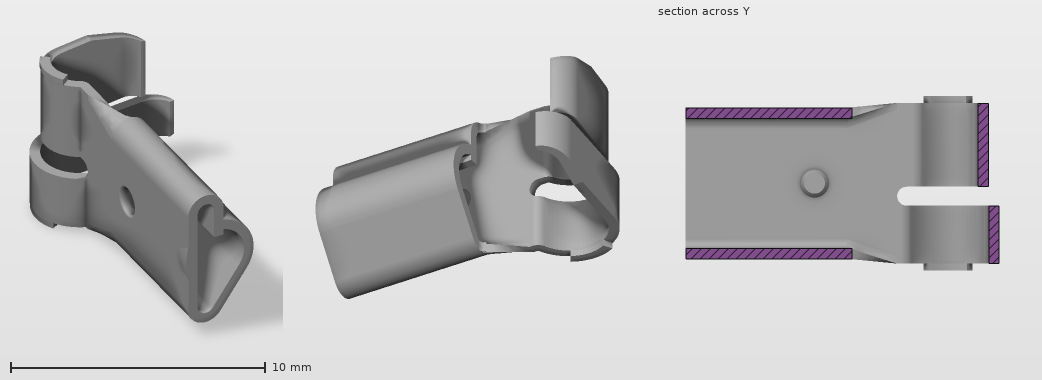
import cadquery as cq
import math

sheet = 0.42
plate_half_height = 3.16

hook_axis_y = 0.73
lower_hook_radius = 1.99
upper_hook_radius = 1.555
lower_hook_lean = 5.6
upper_hook_lean = 9.0
lower_straight = 4.02
upper_straight = 2.93
lower_curl_radius = 1.1
upper_curl_radius = 0.85
curl_tip_angle = 100.0
curl_tip_thickness = sheet / 2
curl_mid_thickness = 0.36

lower_trim_start = 3.44
upper_trim_start = 1.97
trim_run = 2.4
trim_drop = 0.74

lower_tab_radius = 1.97
upper_tab_radius = 1.59
tab_half_width = 0.96
tab_height = 0.27

slot_end_x = 2.0
slot_width = 0.745
slot_z = -0.51

barrel_start_x = 3.98
barrel_end_x = 10.325
barrel_half_height = 2.97
barrel_corner = 0.79
corner_z = barrel_half_height - barrel_corner
crease_start_z = 2.894
upper_wing_tip_z = 0.9
web_fillet = 0.2
crown_radius = 1.63
crown_z = -0.03
crown_top_y = 2.92
crown_end_y = 1.89

dimple_x = 5.25
dimple_mouth_radius = 0.62
dimple_floor_radius = 0.43
dimple_fillet = 0.12
dimple_depth = 0.3
dimple_boss_base_radius = 0.56
dimple_boss_top_radius = 0.41

lip_start_x = 9.567
lip_start_half_width = 0.36
lip_end_half_width = 0.76
lip_start_rise = 0.004
lip_end_rise = 0.085


def polar(centre, radius, degrees):
    angle = math.radians(degrees)
    return (centre[0] + radius * math.cos(angle), centre[1] + radius * math.sin(angle))


def hook(radius, lean, straight, curl_radius, z_min, z_max):
    """Plan outline of one hook, from the plate to the curled tip, extruded along Z."""
    axis = (0, hook_axis_y)
    inner_radius = radius - sheet
    root_x = math.sqrt(radius**2 - hook_axis_y**2)
    root_angle = -math.degrees(math.asin(hook_axis_y / radius))
    lean_angle = 180 + lean
    bottom_angle = -90
    curl_axis = polar(polar(axis, straight, 90 + lean), radius - curl_radius, lean_angle)
    curl_mid_angle = (lean_angle + curl_tip_angle) / 2
    bend = (root_x, 0)
    bend_mid_angle = (180 + root_angle + 90) / 2
    return (
        cq.Workplane("XY", origin=(0, 0, z_min))
        .moveTo(slot_end_x, 0)
        .lineTo(root_x, 0)
        .threePointArc(polar(axis, radius, bottom_angle), polar(axis, radius, lean_angle))
        .lineTo(*polar(curl_axis, curl_radius, lean_angle))
        .threePointArc(
            polar(curl_axis, curl_radius, curl_mid_angle),
            polar(curl_axis, curl_radius, curl_tip_angle),
        )
        .lineTo(*polar(curl_axis, curl_radius - curl_tip_thickness, curl_tip_angle))
        .threePointArc(
            polar(curl_axis, curl_radius - curl_mid_thickness, curl_mid_angle),
            polar(curl_axis, curl_radius - sheet, lean_angle),
        )
        .lineTo(*polar(axis, inner_radius, lean_angle))
        .threePointArc(
            polar(axis, inner_radius, bottom_angle), polar(axis, inner_radius, root_angle)
        )
        .threePointArc(polar(bend, sheet, bend_mid_angle), (root_x, sheet))
        .lineTo(slot_end_x, sheet)
        .close()
        .extrude(z_max - z_min)
    )


def hook_trim(start_y, side):
    """Wedge that slopes off the free end of a hook on its upper (+1) or lower (-1) edge."""
    reach = lower_hook_radius + lower_curl_radius
    edge = side * plate_half_height
    return (
        cq.Workplane("YZ", origin=(-reach, 0, 0))
        .moveTo(start_y, edge)
        .lineTo(start_y + trim_run, edge - side * trim_drop)
        .lineTo(start_y + trim_run, edge)
        .close()
        .extrude(reach)
    )


def tab(radius, side):
    """Short ring sector standing on the edge of a hook."""
    axis = (0, hook_axis_y)
    half_angle = math.degrees(math.asin(tab_half_width / radius))
    inner_radius = radius - sheet
    return (
        cq.Workplane("XY", origin=(0, 0, side * plate_half_height))
        .moveTo(*polar(axis, radius, -90 - half_angle))
        .threePointArc(polar(axis, radius, -90), polar(axis, radius, -90 + half_angle))
        .lineTo(*polar(axis, inner_radius, -90 + half_angle))
        .threePointArc(
            polar(axis, inner_radius, -90), polar(axis, inner_radius, -90 - half_angle)
        )
        .close()
        .extrude(side * tab_height)
    )


def slot():
    """Round-ended opening along X that parts the two hooks over their whole depth."""
    length = 2 * (lower_hook_radius + slot_end_x)
    half_depth = lower_hook_radius + lower_straight + lower_curl_radius
    return (
        cq.Workplane("XZ", origin=(slot_end_x - length / 2, 0, slot_z))
        .slot2D(length, slot_width)
        .extrude(half_depth, both=True)
    )


def plate():
    """Flat web from the slot to the barrel, narrowing along the two bend creases."""
    return (
        cq.Workplane("XZ")
        .moveTo(slot_end_x, -crease_start_z)
        .lineTo(barrel_start_x, -corner_z)
        .lineTo(barrel_end_x, -corner_z)
        .lineTo(barrel_end_x, corner_z)
        .lineTo(barrel_start_x, corner_z)
        .lineTo(slot_end_x, crease_start_z)
        .close()
        .extrude(-sheet)
    )


def transition(side):
    """Web edge that twists from flat at the slot into the quarter bend of the barrel."""
    corner = (barrel_corner, side * corner_z)
    inner_radius = barrel_corner - sheet

    def flat_point(y, z):
        return cq.Vector(slot_end_x, y, side * z)

    def bend_point(radius, degrees):
        y, z = polar(corner, radius, side * degrees)
        return cq.Vector(barrel_start_x, y, z)

    def bend_arc(radius, start, end):
        middle = (start + end) / 2
        points = [bend_point(radius, degrees) for degrees in (start, middle, end)]
        return cq.Edge.makeThreePointArc(*points)

    flat_corners = [
        flat_point(0, crease_start_z),
        flat_point(0, plate_half_height),
        flat_point(sheet, plate_half_height),
        flat_point(sheet, crease_start_z),
    ]
    flat_edges = [
        cq.Edge.makeLine(flat_corners[i], flat_corners[(i + 1) % len(flat_corners)])
        for i in range(len(flat_corners))
    ]
    bent_edges = [
        bend_arc(barrel_corner, 180, 90),
        cq.Edge.makeLine(bend_point(barrel_corner, 90), bend_point(inner_radius, 90)),
        bend_arc(inner_radius, 90, 180),
        cq.Edge.makeLine(bend_point(inner_radius, 180), bend_point(barrel_corner, 180)),
    ]
    faces = [cq.Face.makeFromWires(cq.Wire.assembleEdges(edges)) for edges in (flat_edges, bent_edges)]
    for flat_edge, bent_edge in zip(flat_edges, bent_edges):
        faces.append(cq.Face.makeRuledSurface(flat_edge, bent_edge))
    return cq.Workplane(obj=cq.Solid.makeSolid(cq.Shell.makeShell(faces)).fix())


def web_fillet_piece(side):
    """Concave fillet between the top edge of a transition and the end of its wing."""
    centre = (barrel_start_x - web_fillet, barrel_corner + web_fillet)
    outline = (
        cq.Workplane("XY")
        .moveTo(centre[0], barrel_corner)
        .threePointArc(polar(centre, web_fillet, -45), (barrel_start_x, centre[1]))
        .lineTo(barrel_start_x, barrel_corner - web_fillet)
        .close()
        .extrude(side * barrel_half_height)
    )
    bend = (
        cq.Workplane("YZ", origin=(barrel_start_x - web_fillet, 0, 0))
        .center(barrel_corner, side * corner_z)
        .circle(barrel_corner)
        .circle(barrel_corner - sheet)
        .extrude(web_fillet)
    )
    outer_half = (
        cq.Workplane("XY", origin=(barrel_start_x, barrel_corner, side * corner_z))
        .rect(4 * barrel_corner, 4 * barrel_corner)
        .extrude(side * barrel_corner)
    )
    return outline.intersect(bend).intersect(outer_half)


def upper_wing():
    """Barrel wing folded back through a half turn, parallel to the plate."""
    inner = barrel_corner - sheet
    return (
        cq.Workplane("YZ", origin=(barrel_start_x, 0, 0))
        .moveTo(0, corner_z)
        .threePointArc((barrel_corner, barrel_half_height), (2 * barrel_corner, corner_z))
        .lineTo(2 * barrel_corner, upper_wing_tip_z)
        .lineTo(2 * barrel_corner - sheet, upper_wing_tip_z)
        .lineTo(2 * barrel_corner - sheet, corner_z)
        .threePointArc((barrel_corner, corner_z + inner), (sheet, corner_z))
        .close()
        .extrude(barrel_end_x - barrel_start_x)
    )


def lower_wing():
    """Barrel wing that rises over a rounded crown and lands on the folded wing."""
    corner = (barrel_corner, -corner_z)
    crown = (crown_top_y - crown_radius, crown_z)
    rise = crown[0] - corner[0]
    run = crown[1] - corner[1]
    slope = math.atan2(rise, run) + math.asin((crown_radius - barrel_corner) / math.hypot(rise, run))
    tangent_angle = -math.degrees(slope)
    corner_mid_angle = (tangent_angle - 180) / 2
    landing_y = 2 * barrel_corner
    crown_end_angle = math.degrees(math.acos((crown_end_y - crown[0]) / crown_radius))
    crown_end = polar(crown, crown_radius, crown_end_angle)
    tip_z = crown_end[1] + (crown_end_y - landing_y) / math.tan(math.radians(crown_end_angle))
    inner_crown = crown_radius - sheet
    inner_tip_z = crown_z + math.sqrt(inner_crown**2 - (landing_y - crown[0]) ** 2)
    inner_corner = barrel_corner - sheet
    return (
        cq.Workplane("YZ", origin=(barrel_start_x, 0, 0))
        .moveTo(0, -corner_z)
        .threePointArc(
            polar(corner, barrel_corner, corner_mid_angle),
            polar(corner, barrel_corner, tangent_angle),
        )
        .lineTo(*polar(crown, crown_radius, tangent_angle))
        .threePointArc(polar(crown, crown_radius, 0), crown_end)
        .lineTo(landing_y, tip_z)
        .lineTo(landing_y, inner_tip_z)
        .threePointArc(polar(crown, inner_crown, 0), polar(crown, inner_crown, tangent_angle))
        .lineTo(*polar(corner, inner_corner, tangent_angle))
        .threePointArc(polar(corner, inner_corner, corner_mid_angle), (sheet, -corner_z))
        .close()
        .extrude(barrel_end_x - barrel_start_x)
    )


def dimple_cone(base_radius, top_radius, base_y):
    """Truncated cone on the dimple axis, which runs along Y."""
    return (
        cq.Workplane("XY")
        .moveTo(0, base_y)
        .lineTo(base_radius, base_y)
        .lineTo(top_radius, base_y + dimple_depth)
        .lineTo(0, base_y + dimple_depth)
        .close()
        .revolve(360, (0, 0, 0), (0, 1, 0))
        .translate((dimple_x, 0, 0))
    )


def add_dimple(body):
    """Raise the boss inside the barrel and press the rounded hollow into the outer face."""
    reach = 2 * dimple_mouth_radius
    body = body.union(dimple_cone(dimple_boss_base_radius, dimple_boss_top_radius, sheet))
    body = body.cut(dimple_cone(dimple_mouth_radius, dimple_floor_radius, 0))
    rims = cq.selectors.BoxSelector(
        (dimple_x - reach, -sheet / 2, -reach),
        (dimple_x + reach, (dimple_depth + sheet) / 2, reach),
    )
    return body.edges("%CIRCLE").edges(rims).fillet(dimple_fillet)


def flared_lip():
    """Shallow bulge on the plate that widens and rises toward the barrel mouth."""

    def section(x, half_width, rise):
        return (
            cq.Workplane("YZ", origin=(x, 0, 0))
            .moveTo(0, -half_width)
            .threePointArc((-rise, 0), (0, half_width))
            .close()
            .val()
        )

    start = section(lip_start_x, lip_start_half_width, lip_start_rise)
    end = section(barrel_end_x, lip_end_half_width, lip_end_rise)
    return cq.Workplane(obj=cq.Solid.makeLoft([start, end], True))


upper_hook = hook(
    upper_hook_radius, upper_hook_lean, upper_straight, upper_curl_radius, slot_z, plate_half_height
).cut(hook_trim(upper_trim_start, 1))
lower_hook = hook(
    lower_hook_radius, lower_hook_lean, lower_straight, lower_curl_radius, -plate_half_height, slot_z
).cut(hook_trim(lower_trim_start, -1))

result = plate().union(upper_hook).union(lower_hook).cut(slot())
result = result.union(tab(upper_tab_radius, 1)).union(tab(lower_tab_radius, -1))
for edge_side in (1, -1):
    result = result.union(transition(edge_side)).union(web_fillet_piece(edge_side))
result = result.union(upper_wing()).union(lower_wing()).union(flared_lip())
result = add_dimple(result)